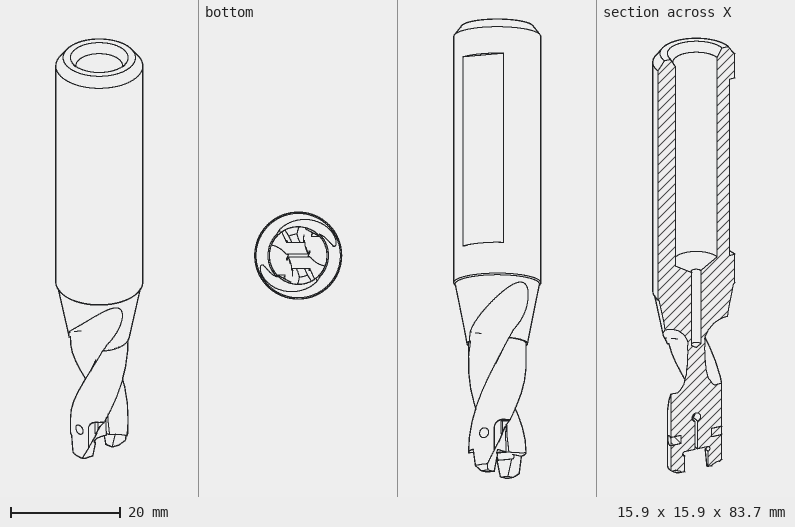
import cadquery as cq
import math

total_length = 83.7
shank_radius = 7.95

shank_bottom_z = 35.6
shank_chamfer_height = 1.75
shank_chamfer_width = 1.3
shank_edge_step = 0.25
flat_depth = 1.1
flat_top_z = 77.0
flat_bottom_z = 41.6

neck_bottom_z = 24.4
neck_bottom_radius = 5.5
drill_radius = 5.3
through_length = 4 * drill_radius
tip_chamfer_width = 1.3
tip_chamfer_height = 0.8

bore_radius = 4.3
bore_bottom_z = 41.8
countersink_radius = 5.3
countersink_half_angle = 30.0
duct_radius = 0.9
duct_bottom_z = 25.1
drill_point_half_angle = 59.0

flute_lead = 64.4
flute_core_radius = 1.75
flute_radius = 4.7
flute_start_z = -0.8
flute_end_z = 25.9
flute_side_z = 8.4
runout_rise = 11.7
runout_slope = 1.1

seat_floor_z = 4.0
seat_half_width = 2.35
seat_relief_radius = 0.4
jaw_side_x = 3.0
jaw_side_lean = 12.0
jaw_side_turn = 25.0

slit_width = 0.5
cross_hole_radius = 0.8
cross_hole_z = 10.5

relief_side_x = 1.3
relief_side_y = 4.85
relief_floor_angle = 28.0
relief_top_z = 9.1
relief_corner_radius = 1.7
notch_side_x = 2.4
notch_floor_y = 3.5
notch_top_z = 8.95
notch_bottom_z = 6.5

pin_radius = 0.9
pin_length = 2.1
pin_x = 0.5
pin_z = 6.7


def turned_copy(shape):
    """The same shape half a turn further round the drill axis."""
    return shape.rotate((0, 0, 0), (0, 0, 1), 180)


def drill_blank():
    """Turned outside of the whole drill."""
    return (
        cq.Workplane("XZ")
        .moveTo(0, 0)
        .lineTo(drill_radius - tip_chamfer_width, 0)
        .lineTo(drill_radius, tip_chamfer_height)
        .lineTo(drill_radius, neck_bottom_z)
        .lineTo(neck_bottom_radius, neck_bottom_z)
        .lineTo(shank_radius - shank_edge_step, shank_bottom_z)
        .lineTo(shank_radius, shank_bottom_z + shank_edge_step)
        .lineTo(shank_radius, total_length - shank_chamfer_height)
        .lineTo(shank_radius - shank_chamfer_width, total_length)
        .lineTo(0, total_length)
        .close()
        .revolve(360, (0, 0, 0), (0, 1, 0))
    )


def bore_cut():
    """Countersunk bore with a conical floor that leads into the coolant duct."""
    countersink_depth = (countersink_radius - bore_radius) / math.tan(math.radians(countersink_half_angle))
    point_slope = math.tan(math.radians(drill_point_half_angle))
    bore_point_height = (bore_radius - duct_radius) / point_slope
    duct_point_height = duct_radius / point_slope
    return (
        cq.Workplane("XZ")
        .moveTo(0, duct_bottom_z - duct_point_height)
        .lineTo(duct_radius, duct_bottom_z)
        .lineTo(duct_radius, bore_bottom_z - bore_point_height)
        .lineTo(bore_radius, bore_bottom_z)
        .lineTo(bore_radius, total_length - countersink_depth)
        .lineTo(countersink_radius, total_length)
        .lineTo(0, total_length)
        .close()
        .revolve(360, (0, 0, 0), (0, 1, 0))
    )


def flat_cut():
    """Clamping flat along the +Y side of the shank."""
    return (
        cq.Workplane("XY")
        .workplane(offset=flat_bottom_z)
        .center(0, shank_radius)
        .rect(2 * shank_radius, 2 * flat_depth)
        .extrude(flat_top_z - flat_bottom_z)
    )


def flute_profile(z):
    """Circle of the flute form at height z."""
    angle = math.pi + 2 * math.pi * (z - flute_side_z) / flute_lead
    distance = flute_core_radius + flute_radius
    return (
        cq.Workplane("XY")
        .workplane(offset=z)
        .moveTo(distance * math.cos(angle), distance * math.sin(angle))
        .circle(flute_radius)
    )


def flute_helix():
    """Helical stretch of a flute, from below the tip up to the run-out."""
    height = flute_end_z - flute_start_z
    return flute_profile(flute_start_z).twistExtrude(height, 360 * height / flute_lead)


def flute_runout():
    """Straight run-out that leaves through the neck toward +X."""
    profile_face = cq.Face.makeFromWires(flute_profile(flute_end_z).ctx.pendingWires[0])
    direction = cq.Vector(runout_slope, 0, 1) * runout_rise
    return cq.Workplane(cq.Solid.extrudeLinear(profile_face, direction))


def seat_cut():
    """Slot between the jaws, with relieved floor corners."""
    slot = cq.Workplane("XY").box(through_length, 2 * seat_half_width, 2 * seat_floor_z)
    reliefs = (
        cq.Workplane("YZ")
        .workplane(offset=-through_length / 2)
        .pushPoints([(side * seat_half_width, seat_floor_z - seat_relief_radius) for side in (-1, 1)])
        .circle(seat_relief_radius)
        .extrude(through_length)
    )
    return slot.union(reliefs)


def jaw_side_cut():
    """Clears the -X side of the -Y jaw below the seat floor, along a sloping face."""
    lean_width = seat_floor_z * math.tan(math.radians(jaw_side_lean))
    outer_y = math.sqrt(drill_radius**2 - jaw_side_x**2)
    far_x = 2 * drill_radius
    cut = (
        cq.Workplane("XZ")
        .moveTo(-far_x, seat_floor_z)
        .lineTo(-jaw_side_x, seat_floor_z)
        .lineTo(lean_width - jaw_side_x, 0)
        .lineTo(-far_x, 0)
        .close()
        .extrude(2 * drill_radius)
    )
    return cut.rotate((-jaw_side_x, -outer_y, 0), (-jaw_side_x, -outer_y, 1), -jaw_side_turn)


def slit_cut():
    """Clamping slit along X that ends in a cross hole."""
    slit = cq.Workplane("XY").box(through_length, slit_width, 2 * cross_hole_z)
    hole = (
        cq.Workplane("YZ", origin=(-through_length / 2, 0, cross_hole_z))
        .circle(cross_hole_radius)
        .extrude(through_length)
    )
    return slit.union(hole)


def relief_cut():
    """Sloping relief with a rounded top beside the flute edge of the -Y jaw."""
    width = 2 * drill_radius
    relief = (
        cq.Workplane("XZ", origin=(relief_side_x, -relief_side_y, 0))
        .lineTo(0, relief_top_z - relief_corner_radius)
        .radiusArc((relief_corner_radius, relief_top_z), relief_corner_radius)
        .lineTo(width, relief_top_z)
        .lineTo(width, 0)
        .close()
        .extrude(drill_radius)
    )
    side_bottom = (relief_side_x, -relief_side_y, 0)
    side_top = (relief_side_x, -relief_side_y, 1)
    return relief.rotate(side_bottom, side_top, relief_floor_angle)


def notch_cut():
    """Notch that opens the top of the relief into the flute."""
    size = (drill_radius, drill_radius, notch_top_z - notch_bottom_z)
    return (
        cq.Workplane("XY", origin=(notch_side_x, -notch_floor_y, notch_bottom_z))
        .box(*size, centered=False)
        .translate((0, -drill_radius, 0))
    )


def pin_blank():
    """Pin along Y in the -Y jaw, longer than the finished pin."""
    return (
        cq.Workplane("XZ", origin=(-pin_x, pin_length - drill_radius, pin_z))
        .circle(pin_radius)
        .extrude(2 * pin_length)
    )


def make_pin():
    """Pin with its outer end rounded flush with the drill."""
    return pin_blank().intersect(drill_blank())


def make_drill():
    """Drill with its bore, clamping flat, flutes, jaws and pin holes."""
    drill = drill_blank().cut(bore_cut()).cut(flat_cut())
    jaw_cutters = (jaw_side_cut(), relief_cut(), notch_cut(), pin_blank())
    for cutter in (flute_helix(), flute_runout(), *jaw_cutters):
        drill = drill.cut(cutter).cut(turned_copy(cutter))
    return drill.cut(seat_cut()).cut(slit_cut())


drill = make_drill()
first_pin = make_pin()
pins = [first_pin.rotate((0, 0, 0), (0, 0, 1), turn) for turn in (0, 180)]
result = cq.Compound.makeCompound([drill.val(), *[pin.val() for pin in pins]])